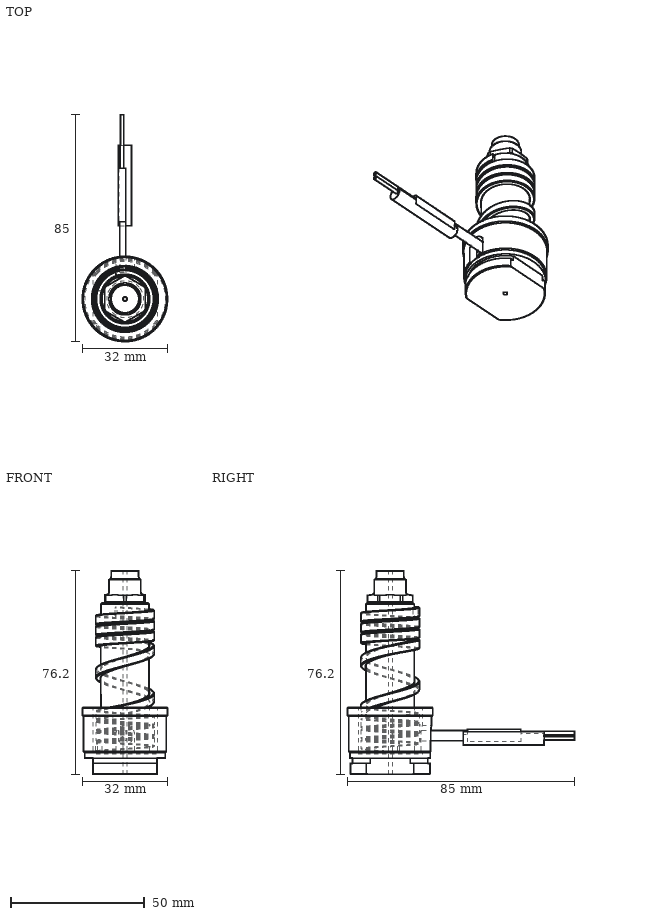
import cadquery as cq
import math

TOTAL_HEIGHT = 76.2
BORE_RADIUS = 0.75

BASE_RADIUS = 14.95
BASE_HEIGHT = 4.1
BASE_CHAMFER = 0.35
NECK_RADIUS = 14.15
FLAT_DISTANCE = 12.0

LEDGE_RADIUS = 15.1
LEDGE_BOTTOM = 6.15
CUP_RADIUS = 15.55
CUP_BOTTOM = 8.2
RIM_RADIUS = 16.0
RIM_BOTTOM = 21.7
RIM_TOP = 25.2
CUP_CHAMFER = 0.45
CUP_INNER_RADIUS = 12.0
MOUTH_CHAMFER = 0.5
FLOOR_CHAMFER = 0.5

SLOT_WIDTH = 7.0
SLOT_TOP = 18.5

TUBE_RADIUS = 9.05
TUBE_TOP = 64.2
TUBE_CHAMFER = 0.5
COLLAR_RADIUS = 6.9
HEX_BOTTOM = 64.6
HEX_TOP = 67.3
HEX_ACROSS_FLATS = 15.2
HEX_CORNER_RADIUS = 8.5
HEX_CHAMFER_HEIGHT = 0.3
SPINDLE_RADIUS = 6.0
SPINDLE_TOP = 73.3
SPINDLE_CHAMFER = 0.5
TIP_RADIUS = 5.15
TIP_CONE_RADIUS = 5.35
TIP_BOTTOM = 74.1

SPRING_OUTER_RADIUS = 11.0
SPRING_INNER_RADIUS = 8.95
SPRING_WIRE_HEIGHT = 3.6
SPRING_CHAMFER = 0.35
CLOSED_PITCH = 4.0
OPEN_PITCH = 18.0
OPEN_TURNS = 376 / 360
BLEND_TURNS = 126 / 360
CLOSED_TURNS = 1100 / 360
SPRING_TOP = 62.8
SPRING_END_ANGLE = 110.0
SPRING_POINTS_PER_TURN = 12

CABLE_X = -0.85
CABLE_Z = 14.55
CABLE_WIDTH = 2.35
CABLE_HEIGHT = 3.9
CABLE_CORNER = 0.6
CABLE_START = 10.0
WRAP_X = -1.1
WRAP_Z = 14.6
WRAP_WIDTH = 2.95
WRAP_HEIGHT = 4.7
WRAP_CORNER = 0.85
WRAP_START = 28.9
WRAP_END = 48.95
SLEEVE_RADIUS = 2.5
SLEEVE_Z = 13.5
SLEEVE_START = 27.3
SLEEVE_END = 57.6
WIRE_RADIUS = 0.7
WIRE_X = -1.05
WIRE_HEIGHTS = (13.5, 15.55)
WIRE_END = 69.0


def cylinder(radius, bottom, top):
    return cq.Workplane("XY").workplane(offset=bottom).circle(radius).extrude(top - bottom)


def y_plane(x, y, z):
    """Sketch plane facing +Y, with its local vertical along Z."""
    return cq.Workplane(cq.Plane(origin=(x, y, z), xDir=(-1, 0, 0), normal=(0, 1, 0)))


def make_base():
    disc = cylinder(BASE_RADIUS, 0, BASE_HEIGHT).faces("<Z").chamfer(BASE_CHAMFER)
    neck = cylinder(NECK_RADIUS, BASE_HEIGHT, LEDGE_BOTTOM)
    between_flats = cq.Workplane("XY").box(
        2 * FLAT_DISTANCE, 2 * LEDGE_RADIUS, LEDGE_BOTTOM, centered=(True, True, False)
    )
    return disc.union(neck).intersect(between_flats)


def make_cup():
    ledge = cylinder(LEDGE_RADIUS, LEDGE_BOTTOM, CUP_BOTTOM)
    wall = cylinder(CUP_RADIUS, CUP_BOTTOM, RIM_BOTTOM).faces("<Z").chamfer(CUP_CHAMFER)
    rim = cylinder(RIM_RADIUS, RIM_BOTTOM, RIM_TOP).faces("|Z").chamfer(CUP_CHAMFER)
    cup = ledge.union(wall).union(rim)
    groove_bottom = CUP_BOTTOM - FLOOR_CHAMFER
    cavity = cylinder(CUP_INNER_RADIUS, groove_bottom, RIM_TOP)
    floor = cylinder(CUP_INNER_RADIUS, groove_bottom - FLOOR_CHAMFER, CUP_BOTTOM)
    floor = floor.faces(">Z").chamfer(FLOOR_CHAMFER)
    mouth = (
        cq.Workplane("XY")
        .workplane(offset=RIM_TOP)
        .circle(CUP_INNER_RADIUS + MOUTH_CHAMFER)
        .workplane(offset=-MOUTH_CHAMFER)
        .circle(CUP_INNER_RADIUS)
        .loft(ruled=True)
    )
    cup = cup.cut(cavity.cut(floor)).cut(mouth)
    half_width = SLOT_WIDTH / 2
    arch_center = SLOT_TOP - half_width
    slot = (
        y_plane(0, 0, 0)
        .moveTo(-half_width, CUP_BOTTOM)
        .lineTo(half_width, CUP_BOTTOM)
        .lineTo(half_width, arch_center)
        .threePointArc((0, SLOT_TOP), (-half_width, arch_center))
        .close()
        .extrude(RIM_RADIUS)
    )
    return cup.cut(slot)


def make_stem():
    """Tube, collar and spindle turned about the Z axis."""
    fillet_radius = COLLAR_RADIUS - SPINDLE_RADIUS
    fillet_inset = fillet_radius * (1 - math.cos(math.pi / 4))
    profile = (
        cq.Workplane("XZ")
        .moveTo(0, LEDGE_BOTTOM)
        .lineTo(TUBE_RADIUS, LEDGE_BOTTOM)
        .lineTo(TUBE_RADIUS, TUBE_TOP - TUBE_CHAMFER)
        .lineTo(TUBE_RADIUS - TUBE_CHAMFER, TUBE_TOP)
        .lineTo(COLLAR_RADIUS, TUBE_TOP)
        .lineTo(COLLAR_RADIUS, HEX_TOP)
        .threePointArc(
            (SPINDLE_RADIUS + fillet_inset, HEX_TOP + fillet_inset),
            (SPINDLE_RADIUS, HEX_TOP + fillet_radius),
        )
        .lineTo(SPINDLE_RADIUS, SPINDLE_TOP - SPINDLE_CHAMFER)
        .lineTo(TIP_CONE_RADIUS, SPINDLE_TOP)
        .lineTo(TIP_RADIUS, TIP_BOTTOM)
        .lineTo(TIP_RADIUS, TOTAL_HEIGHT)
        .lineTo(0, TOTAL_HEIGHT)
        .close()
    )
    return profile.revolve(360, (0, 0), (0, 1))


def make_hexagon():
    """Hexagon with corners on the Y axis, turned down at its corners and top edge."""
    corner_diameter = HEX_ACROSS_FLATS / math.cos(math.pi / 6)
    prism = (
        cq.Workplane("XY")
        .workplane(offset=HEX_BOTTOM)
        .transformed(rotate=(0, 0, 90))
        .polygon(6, corner_diameter)
        .extrude(HEX_TOP - HEX_BOTTOM)
    )
    blank = (
        cylinder(HEX_CORNER_RADIUS, HEX_BOTTOM, HEX_TOP)
        .faces(">Z")
        .chamfer(HEX_CHAMFER_HEIGHT, HEX_CORNER_RADIUS - COLLAR_RADIUS)
    )
    return prism.intersect(blank)


def spring_drop(turns):
    """Height lost after a number of turns down from the top end of the spring."""
    blend_rate = (OPEN_PITCH - CLOSED_PITCH) / BLEND_TURNS
    open_start = CLOSED_TURNS + BLEND_TURNS
    into_first_blend = min(max(turns - CLOSED_TURNS, 0), BLEND_TURNS)
    in_open = min(max(turns - open_start, 0), OPEN_TURNS)
    into_last_blend = min(max(turns - open_start - OPEN_TURNS, 0), BLEND_TURNS)
    extra = blend_rate * into_first_blend**2 / 2
    extra += (OPEN_PITCH - CLOSED_PITCH) * (in_open + into_last_blend)
    extra -= blend_rate * into_last_blend**2 / 2
    return CLOSED_PITCH * turns + extra


def make_spring():
    middle_radius = (SPRING_OUTER_RADIUS + SPRING_INNER_RADIUS) / 2
    total_turns = 2 * (CLOSED_TURNS + BLEND_TURNS) + OPEN_TURNS
    start_z = SPRING_TOP - SPRING_WIRE_HEIGHT / 2

    def helix_point(turns):
        angle = math.radians(SPRING_END_ANGLE) - 2 * math.pi * turns
        return (
            middle_radius * math.cos(angle),
            middle_radius * math.sin(angle),
            start_z - spring_drop(turns),
        )

    point_count = round(total_turns * SPRING_POINTS_PER_TURN)
    path_points = [helix_point(total_turns * i / point_count) for i in range(point_count + 1)]
    path = cq.Workplane("XY").spline(path_points)
    upright_guide = path.translate((0, 0, SPRING_WIRE_HEIGHT))
    end_angle = math.radians(SPRING_END_ANGLE)
    radial = (math.cos(end_angle), math.sin(end_angle), 0)
    tangent = (math.sin(end_angle), -math.cos(end_angle), 0)
    section_plane = cq.Plane(origin=helix_point(0), xDir=radial, normal=tangent)
    outer = SPRING_OUTER_RADIUS - middle_radius
    inner = SPRING_INNER_RADIUS - middle_radius
    half_height = SPRING_WIRE_HEIGHT / 2
    section = cq.Workplane(section_plane).polyline(
        [
            (inner, SPRING_CHAMFER - half_height),
            (inner + SPRING_CHAMFER, -half_height),
            (outer - SPRING_CHAMFER, -half_height),
            (outer, SPRING_CHAMFER - half_height),
            (outer, half_height - SPRING_CHAMFER),
            (outer - SPRING_CHAMFER, half_height),
            (inner + SPRING_CHAMFER, half_height),
            (inner, half_height - SPRING_CHAMFER),
        ]
    ).close()
    return section.sweep(path, auxSpine=upright_guide)


def rounded_bar(x, z, width, height, corner, start, end):
    bar = y_plane(x, start, z).rect(width, height).extrude(end - start)
    return bar.edges("|Y").fillet(corner)


def make_cable():
    cable = rounded_bar(
        CABLE_X, CABLE_Z, CABLE_WIDTH, CABLE_HEIGHT, CABLE_CORNER, CABLE_START, WRAP_END
    )
    wrap = rounded_bar(WRAP_X, WRAP_Z, WRAP_WIDTH, WRAP_HEIGHT, WRAP_CORNER, WRAP_START, WRAP_END)
    sleeve = y_plane(0, SLEEVE_START, SLEEVE_Z).circle(SLEEVE_RADIUS).extrude(SLEEVE_END - SLEEVE_START)
    cable = cable.union(wrap).union(sleeve)
    for wire_z in WIRE_HEIGHTS:
        wire = y_plane(WIRE_X, WRAP_START, wire_z).circle(WIRE_RADIUS).extrude(WIRE_END - WRAP_START)
        cable = cable.union(wire)
    return cable


body = make_base().union(make_cup()).union(make_stem()).union(make_hexagon())
body = body.union(make_spring()).union(make_cable())
result = body.cut(cylinder(BORE_RADIUS, 0, TOTAL_HEIGHT))